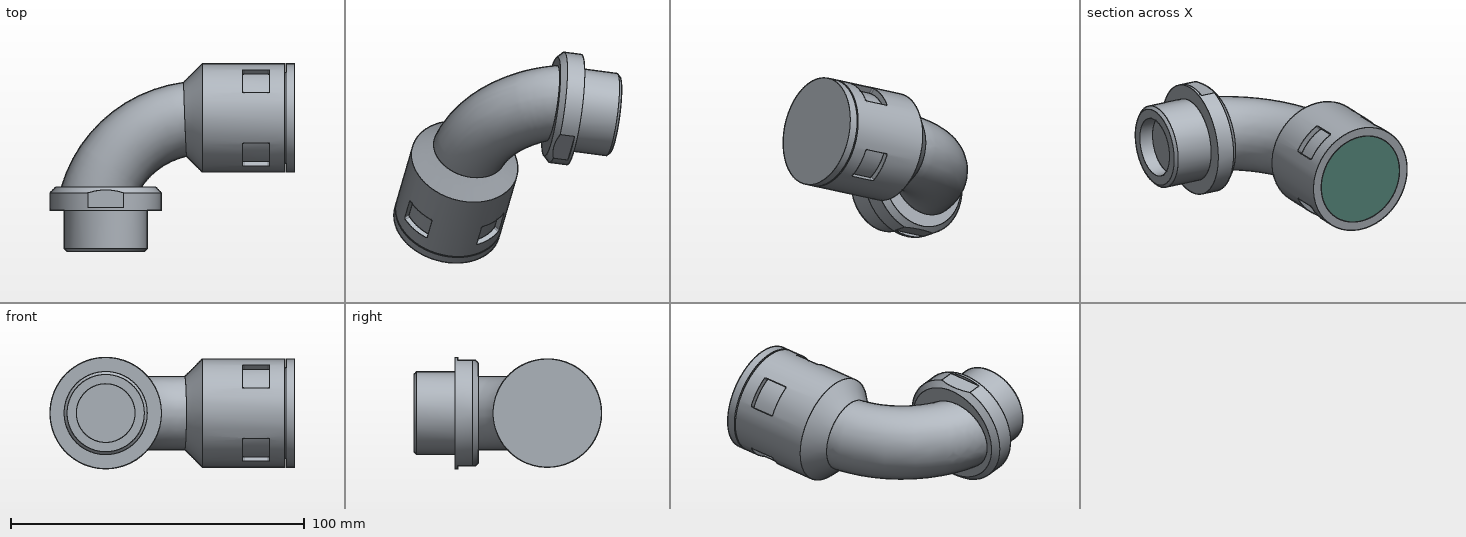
import cadquery as cq
import math

socket_end = 64.3
socket_start = 32.9
socket_radius = 37.0 / 2
groove_radius = 31.0 / 2
groove_start = 60.9
groove_width = 0.5

tube_radius = 12.5
bend_radius = 37.5
cone_tip_radius = 10.0
cone_length = socket_radius - cone_tip_radius

window_count = 4
window_start = 46.6
window_length = 9.25
window_width = 11.0
window_corner = 0.5
window_floor_radius = 16.5

flange_radius = 38.0 / 2
flange_top = -23.5
flange_height = 8.0
flange_chamfer = 2.0
flat_distance = 18.0
flat_lip = 1.0

spigot_radius = 28.3 / 2
spigot_length = 14.0
spigot_chamfer = 1.0
bore_radius = 20.0 / 2
bore_depth = 5.0

flange_bottom = flange_top - flange_height
spigot_end = flange_bottom - spigot_length


def x_cylinder(radius, start, length):
    return cq.Workplane("YZ", origin=(start, 0, 0)).circle(radius).extrude(length)


def y_cylinder(radius, bottom, length):
    return cq.Workplane("XZ", origin=(0, bottom, 0)).circle(radius).extrude(-length)


def make_socket():
    body = x_cylinder(socket_radius, socket_start, socket_end - socket_start)
    cone = (
        cq.Workplane("YZ", origin=(socket_start, 0, 0))
        .circle(socket_radius)
        .workplane(offset=-cone_length)
        .circle(cone_tip_radius)
        .loft()
    )
    ring = x_cylinder(socket_radius, groove_start, groove_width)
    ring = ring.cut(x_cylinder(groove_radius, groove_start, groove_width))
    return body.union(cone).cut(ring)


def make_windows():
    """Straight-sided pockets with a cylindrical floor, midway between the Y and Z directions."""
    cutter = (
        cq.Workplane("XY")
        .center(window_start + window_length / 2, 0)
        .rect(window_length, window_width)
        .extrude(socket_radius)
        .edges("|Z")
        .fillet(window_corner)
        .cut(x_cylinder(window_floor_radius, window_start, window_length))
    )
    step = 360 / window_count
    windows = cq.Workplane("XY")
    for index in range(window_count):
        windows = windows.add(cutter.rotate((0, 0, 0), (1, 0, 0), (index + 0.5) * step))
    return windows.combine()


def make_elbow():
    """Tube bent from the socket axis down to half the flange height."""
    end_y = flange_top - flange_height / 2
    sweep_angle = math.degrees(math.acos(1 + end_y / bend_radius))
    return (
        cq.Workplane("YZ", origin=(socket_start, 0, 0))
        .circle(tube_radius)
        .revolve(sweep_angle, (-bend_radius, 0, 0), (-bend_radius, 1, 0))
    )


def make_flange():
    flange = y_cylinder(flange_radius, flange_bottom, flange_height)
    flange = flange.faces(">Y").chamfer(flange_chamfer)
    flat_height = flange_height - flat_lip
    flat_depth = flange_radius - flat_distance
    for side in (1, -1):
        flat_cutter = cq.Workplane("XY").box(2 * flange_radius, flat_height, flat_depth).translate(
            (0, flange_top - flat_height / 2, side * (flat_distance + flat_depth / 2))
        )
        flange = flange.cut(flat_cutter)
    return flange


def make_spigot():
    spigot = y_cylinder(spigot_radius, spigot_end, spigot_length)
    return spigot.faces("<Y").chamfer(spigot_chamfer)


bore = y_cylinder(bore_radius, spigot_end, bore_depth)
socket = make_socket().cut(make_windows())
result = socket.union(make_elbow())
result = result.union(make_flange())
result = result.union(make_spigot())
result = result.cut(bore)